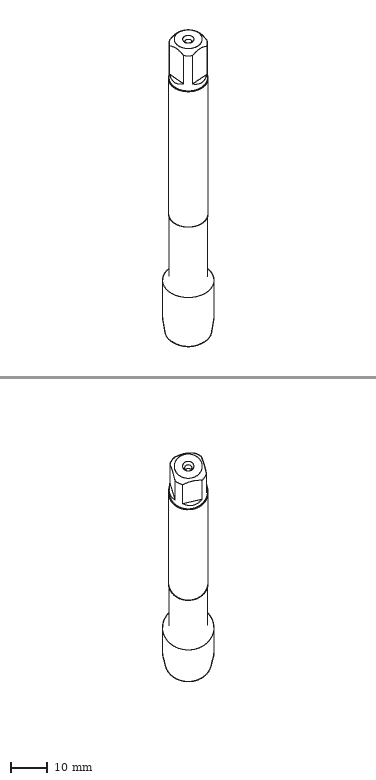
import cadquery as cq
import math

total_length = 110.0

head_diameter = 14.21
head_length = 20.0
lead_length = 6.0
lead_end_diameter = 13.0
tip_diameter = 10.7
tip_chamfer_height = 1.2

neck_diameter = 10.7
neck_end_z = 44.8
shoulder_angle = 30.0
neck_fillet_radius = 1.0

shank_diameter = 11.0
shank_end_z = 95.5
drive_diameter = 10.56
drive_chamfer = 1.43
square_width = 9.0
square_length = 12.0

centre_hole_diameter = 2.0
centre_hole_depth = 3.0
countersink_diameter = 3.1
countersink_angle = 60.0
drill_point_angle = 120.0

head_radius = head_diameter / 2
neck_radius = neck_diameter / 2
shank_radius = shank_diameter / 2
drive_radius = drive_diameter / 2


def revolve_about_z(profile):
    """Turn a closed (radius, height) profile into a solid of revolution about Z."""
    return profile.close().revolve(360, (0, 0, 0), (0, 1, 0))


def cone_height(large_radius, small_radius):
    """Height of a conical step between two radii at the shoulder angle."""
    return (large_radius - small_radius) * math.tan(math.radians(shoulder_angle))


def make_cutting_head():
    """Plain cylinder with a tapered lead and a chamfered tip."""
    profile = (
        cq.Workplane("XZ")
        .lineTo(tip_diameter / 2, 0)
        .lineTo(lead_end_diameter / 2, tip_chamfer_height)
        .lineTo(head_radius, lead_length)
        .lineTo(head_radius, head_length)
        .lineTo(0, head_length)
    )
    return revolve_about_z(profile)


def make_turned_shank():
    """Shoulder cone, fillet, neck, shank and the round blank of the square drive."""
    slope = math.radians(shoulder_angle)

    fillet_centre_radius = neck_radius + neck_fillet_radius
    fillet_start_radius = fillet_centre_radius - neck_fillet_radius * math.sin(slope)
    fillet_start_z = head_length + cone_height(head_radius, fillet_start_radius)
    fillet_end_z = fillet_start_z + neck_fillet_radius * math.cos(slope)
    middle_angle = slope / 2
    fillet_middle = (
        fillet_centre_radius - neck_fillet_radius * math.cos(middle_angle),
        fillet_end_z - neck_fillet_radius * math.sin(middle_angle),
    )

    profile = (
        cq.Workplane("XZ")
        .moveTo(0, head_length)
        .lineTo(head_radius, head_length)
        .lineTo(fillet_start_radius, fillet_start_z)
        .threePointArc(fillet_middle, (neck_radius, fillet_end_z))
        .lineTo(neck_radius, neck_end_z - cone_height(shank_radius, neck_radius))
        .lineTo(shank_radius, neck_end_z)
        .lineTo(shank_radius, shank_end_z - cone_height(shank_radius, drive_radius))
        .lineTo(drive_radius, shank_end_z)
        .lineTo(drive_radius, total_length - drive_chamfer)
        .lineTo(drive_radius - drive_chamfer, total_length)
        .lineTo(0, total_length)
    )
    return revolve_about_z(profile)


def make_flat_cutter():
    """Wedge that mills one drive flat, running out at 45 degrees at its lower end."""
    flat_distance = square_width / 2
    runout = shank_radius - flat_distance
    flat_end_z = total_length - square_length
    return (
        cq.Workplane("XZ")
        .moveTo(flat_distance, flat_end_z)
        .lineTo(flat_distance + runout, flat_end_z - runout)
        .lineTo(flat_distance + runout, total_length)
        .lineTo(flat_distance, total_length)
        .close()
        .extrude(shank_radius, both=True)
    )


def make_centre_hole():
    """Countersunk blind hole with a conical drill point."""
    hole_radius = centre_hole_diameter / 2
    countersink_radius = countersink_diameter / 2
    countersink_depth = (countersink_radius - hole_radius) / math.tan(math.radians(countersink_angle / 2))
    point_depth = hole_radius / math.tan(math.radians(drill_point_angle / 2))
    hole_bottom_z = total_length - centre_hole_depth
    profile = (
        cq.Workplane("XZ")
        .moveTo(0, total_length)
        .lineTo(countersink_radius, total_length)
        .lineTo(hole_radius, total_length - countersink_depth)
        .lineTo(hole_radius, hole_bottom_z)
        .lineTo(0, hole_bottom_z - point_depth)
    )
    return revolve_about_z(profile)


def make_shank():
    """Turned shank with four drive flats and the centre hole."""
    body = make_turned_shank()
    flat_cutter = make_flat_cutter()
    for flat_angle in (0, 90, 180, 270):
        body = body.cut(flat_cutter.rotate((0, 0, 0), (0, 0, 1), flat_angle))
    return body.cut(make_centre_hole())


cutting_head = make_cutting_head()
shank = make_shank()

result = cq.Compound.makeCompound([cutting_head.val(), shank.val()])